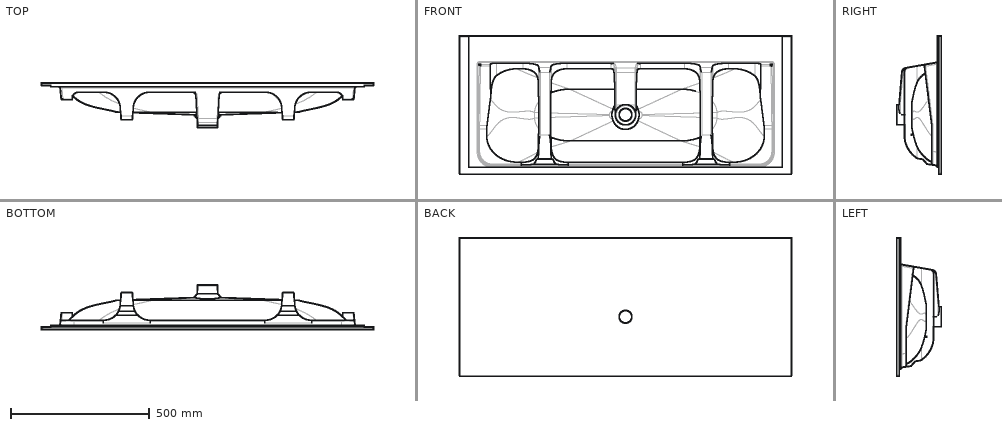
import cadquery as cq
import math

LENGTH = 1199.99
WIDTH = 500.0
TOTAL_DEPTH = 161.5

RIM_THICKNESS = 10.0
RIM_BORDER_X = 34.0
RIM_BORDER_Z = 26.0
RIM_CORNER = 6.0
RIM_EDGE_FILLET = 2.0
PLATE_THICKNESS = 15.0

FRAME_HALF_LENGTH = 533.0
FRAME_BOTTOM = 31.0
FRAME_TOP = 405.0
FRAME_DEPTH = 34.0
FRAME_FRONT_CORNER = 50.0
FRAME_BACK_CORNER = 6.0
FRAME_EDGE_FILLET = 4.0
FRAME_ROOT_FILLET = 4.0
SIDE_DRAFT = math.radians(6.0)
TOP_DRAFT = math.radians(10.0)
BOTTOM_DRAFT = math.radians(12.0)

END_BLOCK_INNER_X = 488.0
END_BLOCK_BACK_DEPTH = 62.0
END_BLOCK_RAMP_START = 171.0
END_BLOCK_FLARE = 22.0
END_BLOCK_RAMP_RADIUS = 110.0

RIB_X = 291.5
RIB_HALF_WIDTH = 20.5
RIB_DEPTH = 134.0
RIB_FLARE_X = 62.0
RIB_FLARE_Y = 55.0
RIB_SIDE_SLOPE = 3.0
RIB_CROWN_RADIUS = 18.0
RIB_CURVE_START_Z = 143.0
RIB_CURVE_MIDDLE = (-123.0, 97.0)
RIB_CURVE_END = (-86.0, 57.0)
RIB_STEP_EDGE = (-67.0, 54.0)
RIB_FOOT = (-52.0, 37.0)
RIB_EDGE_FILLET = 4.0

CENTRE_HALF_WIDTH = 36.0
CENTRE_SIDE_SLOPE = 6.0
CENTRE_FLARE = 12.0
CENTRE_EDGE_FILLET = 4.0
CENTRE_BACK_DEPTH = 142.0
CENTRE_DRAIN_DEPTH = 153.0

DRAIN_Z = 215.5
DRAIN_BOSS_RADIUS = 37.0
DRAIN_COLLAR_RADIUS = 53.0
DRAIN_COLLAR_START = 111.0
DRAIN_COLLAR_END = 130.0
DRAIN_HOLE_DIAMETER = 45.0
DRAIN_EDGE_FILLET = 3.0

BOWL_SECTIONS = [
    (30.0, 505.0, 43.0, 384.0, 108.0, 92.0),
    (52.0, 482.0, 55.0, 370.0, 115.0, 105.0),
    (71.0, 455.0, 74.0, 355.0, 125.0, 117.0),
    (90.5, 398.0, 100.0, 332.0, 128.0, 106.0),
    (106.0, 329.0, 121.0, 308.0, 128.0, 84.0),
]
BOWL_FLOOR_DEPTH = 115.5
BOWL_FLOOR_SCALE = 0.18


ARC_MIDDLE = math.sqrt(0.5)


def underside_plane(depth):
    """Plane at the given depth, local axes X and Z, normal towards -Y."""
    return cq.Workplane("XZ", origin=(0, -depth, 0))


def crowned_prism(profile, crown_depth):
    """Extrude a Y-Z profile along X and round its back edge at the drafted top wall."""
    prism = profile.extrude(LENGTH / 2, both=True)
    crown = cq.NearestToPointSelector((0, -crown_depth, frame_top_at(crown_depth)))
    return prism.edges("|X").edges(crown).fillet(RIB_CROWN_RADIUS)


def make_plate():
    rim = underside_plane(0).rect(LENGTH, WIDTH).extrude(RIM_THICKNESS)
    rim = rim.translate((0, 0, WIDTH / 2)).edges("|Y and <Z").fillet(RIM_CORNER)
    rim = rim.faces("<Y").edges().fillet(RIM_EDGE_FILLET)
    plate_height = WIDTH - RIM_BORDER_Z
    plate = underside_plane(0).center(0, RIM_BORDER_Z + plate_height / 2)
    plate = plate.rect(LENGTH - 2 * RIM_BORDER_X, plate_height).extrude(PLATE_THICKNESS)
    return rim.union(plate)


def frame_top_at(depth):
    """Z of the drafted top wall at a depth."""
    return FRAME_TOP - (depth - PLATE_THICKNESS) * math.tan(TOP_DRAFT)


def frame_outline(depth):
    """Rectangle of the frame at a depth, shrunk by the draft of each side."""
    below_plate = depth - PLATE_THICKNESS
    half = FRAME_HALF_LENGTH - below_plate * math.tan(SIDE_DRAFT)
    bottom = FRAME_BOTTOM + below_plate * math.tan(BOTTOM_DRAFT)
    top = frame_top_at(depth)
    corners = [(-half, bottom), (half, bottom), (half, top), (-half, top)]
    return underside_plane(depth).polyline(corners).close().val()


def make_envelope(depth):
    """Drafted block inside the frame outline, from the plate to a depth."""
    outlines = [frame_outline(RIM_THICKNESS), frame_outline(depth)]
    block = cq.Workplane(cq.Solid.makeLoft(outlines, True))
    corners = block.edges("not(#Y)")
    front_corners = corners.filter(lambda edge: edge.Center().z < WIDTH / 2)
    block = front_corners.fillet(FRAME_FRONT_CORNER)
    back_corners = block.edges("not(#Y)").filter(lambda edge: edge.Center().z > WIDTH / 2)
    return back_corners.fillet(FRAME_BACK_CORNER)


def make_wedge():
    """Drafted block whose back half rises on a ramp, with rounded edges."""
    profile = (
        cq.Workplane("YZ")
        .moveTo(-RIM_THICKNESS, WIDTH)
        .lineTo(-END_BLOCK_BACK_DEPTH, frame_top_at(END_BLOCK_BACK_DEPTH))
        .lineTo(-FRAME_DEPTH, END_BLOCK_RAMP_START)
        .lineTo(-FRAME_DEPTH, 0)
        .lineTo(-RIM_THICKNESS, 0)
        .close()
    )
    prism = profile.extrude(LENGTH / 2, both=True)
    kink = cq.NearestToPointSelector((0, -FRAME_DEPTH, END_BLOCK_RAMP_START))
    prism = prism.edges("|X").edges(kink).fillet(END_BLOCK_RAMP_RADIUS)
    wedge = prism.intersect(make_envelope(END_BLOCK_BACK_DEPTH))
    underside = wedge.faces().filter(lambda face: face.normalAt().y < -math.cos(TOP_DRAFT))
    return underside.edges("not |X").fillet(FRAME_EDGE_FILLET)


def make_frame():
    """Frame with a level underside between the two wedge-shaped end blocks."""
    inner = END_BLOCK_INNER_X
    flare = END_BLOCK_FLARE
    flare_end = FRAME_DEPTH + flare
    bulge_x = inner - flare + flare * ARC_MIDDLE
    bulge_y = flare_end - flare * ARC_MIDDLE
    recess = (
        cq.Workplane("XY")
        .moveTo(-inner, -TOTAL_DEPTH)
        .lineTo(-inner, -flare_end)
        .threePointArc((-bulge_x, -bulge_y), (-inner + flare, -FRAME_DEPTH))
        .lineTo(inner - flare, -FRAME_DEPTH)
        .threePointArc((bulge_x, -bulge_y), (inner, -flare_end))
        .lineTo(inner, -TOTAL_DEPTH)
        .close()
        .extrude(WIDTH)
    )
    return make_wedge().cut(recess)


def make_framed_plate():
    """Plate and frame joined with a fillet around the root of the frame."""
    margin = FRAME_ROOT_FILLET / 4
    root_box = cq.selectors.BoxSelector(
        (-FRAME_HALF_LENGTH - margin, -PLATE_THICKNESS - margin, FRAME_BOTTOM - margin),
        (FRAME_HALF_LENGTH + margin, -PLATE_THICKNESS + margin, FRAME_TOP + margin),
    )
    return make_plate().union(make_frame()).edges(root_box).fillet(FRAME_ROOT_FILLET)


def bowl_outline(depth, half, bottom, top, corner_x, corner_z):
    """Rectangle with elliptical corners."""
    straight = half - corner_x
    return (
        underside_plane(depth)
        .moveTo(-straight, bottom)
        .lineTo(straight, bottom)
        .ellipseArc(corner_x, corner_z, 270, 360, startAtCurrent=True)
        .lineTo(half, top - corner_z)
        .ellipseArc(corner_x, corner_z, 0, 90, startAtCurrent=True)
        .lineTo(-straight, top)
        .ellipseArc(corner_x, corner_z, 90, 180, startAtCurrent=True)
        .lineTo(-half, bottom + corner_z)
        .ellipseArc(corner_x, corner_z, 180, 270, startAtCurrent=True)
        .close()
        .val()
    )


def bowl_floor_outline():
    """The deepest bowl section shrunk around the drain."""
    depth, half, bottom, top, corner_x, corner_z = BOWL_SECTIONS[-1]
    scale = BOWL_FLOOR_SCALE
    floor_bottom = DRAIN_Z + scale * (bottom - DRAIN_Z)
    floor_top = DRAIN_Z + scale * (top - DRAIN_Z)
    return bowl_outline(
        BOWL_FLOOR_DEPTH, scale * half, floor_bottom, floor_top, scale * corner_x, scale * corner_z
    )


def make_bowl():
    """Smooth walls through the bowl sections, then a shallow floor sloping to the drain."""
    outlines = [bowl_outline(*section) for section in BOWL_SECTIONS]
    walls = cq.Solid.makeLoft(outlines)
    floor = cq.Solid.makeLoft([outlines[-1], bowl_floor_outline()], True)
    return cq.Workplane(walls).union(cq.Workplane(floor))


def rib_body(half_width, side_slope, flare_x, flare_y, depth):
    """Upright rib with sloped sides that flare out into the frame."""
    root = half_width + side_slope
    flare_end = FRAME_DEPTH + flare_y
    outer = root + flare_x
    bulge_x = outer - flare_x * ARC_MIDDLE
    bulge_y = flare_end - flare_y * ARC_MIDDLE
    return (
        cq.Workplane("XY")
        .moveTo(-outer, -RIM_THICKNESS)
        .lineTo(-outer, -FRAME_DEPTH)
        .threePointArc((-bulge_x, -bulge_y), (-root, -flare_end))
        .lineTo(-half_width, -depth)
        .lineTo(half_width, -depth)
        .lineTo(root, -flare_end)
        .threePointArc((bulge_x, -bulge_y), (outer, -FRAME_DEPTH))
        .lineTo(outer, -RIM_THICKNESS)
        .close()
        .extrude(FRAME_TOP)
    )


def make_rib():
    """Support rib at X = 0: straight back, curved towards the front edge, stepped foot."""
    body = rib_body(RIB_HALF_WIDTH, RIB_SIDE_SLOPE, RIB_FLARE_X, RIB_FLARE_Y, RIB_DEPTH)
    body = body.faces("<Y").edges("|Z").fillet(RIB_EDGE_FILLET)
    profile = (
        cq.Workplane("YZ")
        .moveTo(-RIM_THICKNESS, frame_top_at(RIM_THICKNESS))
        .lineTo(-RIB_DEPTH, frame_top_at(RIB_DEPTH))
        .lineTo(-RIB_DEPTH, RIB_CURVE_START_Z)
        .threePointArc(RIB_CURVE_MIDDLE, RIB_CURVE_END)
        .lineTo(*RIB_STEP_EDGE)
        .lineTo(*RIB_FOOT)
        .lineTo(-RIM_THICKNESS, FRAME_BOTTOM)
        .close()
    )
    return body.intersect(crowned_prism(profile, RIB_DEPTH))


def make_centre_rib():
    """Rib that deepens from the back of the frame to the drain."""
    body = rib_body(CENTRE_HALF_WIDTH, CENTRE_SIDE_SLOPE, CENTRE_FLARE, CENTRE_FLARE, TOTAL_DEPTH)
    profile = (
        cq.Workplane("YZ")
        .moveTo(-RIM_THICKNESS, frame_top_at(RIM_THICKNESS))
        .lineTo(-CENTRE_BACK_DEPTH, frame_top_at(CENTRE_BACK_DEPTH))
        .lineTo(-CENTRE_DRAIN_DEPTH, DRAIN_Z + DRAIN_BOSS_RADIUS)
        .lineTo(-CENTRE_DRAIN_DEPTH, DRAIN_Z)
        .lineTo(-RIM_THICKNESS, DRAIN_Z)
        .close()
    )
    rib = body.intersect(crowned_prism(profile, CENTRE_BACK_DEPTH))
    slope_middle = (0, -(CENTRE_BACK_DEPTH + CENTRE_DRAIN_DEPTH) / 2, (FRAME_TOP + DRAIN_Z) / 2)
    back_face = rib.faces(cq.NearestToPointSelector(slope_middle))
    return back_face.edges("not |X").fillet(CENTRE_EDGE_FILLET)


def make_drain():
    """Cylindrical outlet with a conical collar where it leaves the bowl."""
    boss = underside_plane(PLATE_THICKNESS).center(0, DRAIN_Z).circle(DRAIN_BOSS_RADIUS)
    boss = boss.extrude(TOTAL_DEPTH - PLATE_THICKNESS).faces("<Y").edges().fillet(DRAIN_EDGE_FILLET)
    collar = (
        underside_plane(DRAIN_COLLAR_START)
        .center(0, DRAIN_Z)
        .circle(DRAIN_COLLAR_RADIUS)
        .workplane(offset=DRAIN_COLLAR_END - DRAIN_COLLAR_START)
        .circle(DRAIN_BOSS_RADIUS)
        .loft()
    )
    return boss.union(collar)


def make_drain_hole():
    return underside_plane(0).center(0, DRAIN_Z).circle(DRAIN_HOLE_DIAMETER / 2).extrude(TOTAL_DEPTH)


result = make_framed_plate().union(make_bowl())
rib = make_rib()
for rib_x in (-RIB_X, RIB_X):
    result = result.union(rib.translate((rib_x, 0, 0)))
result = result.union(make_centre_rib()).union(make_drain())
result = result.cut(make_drain_hole())